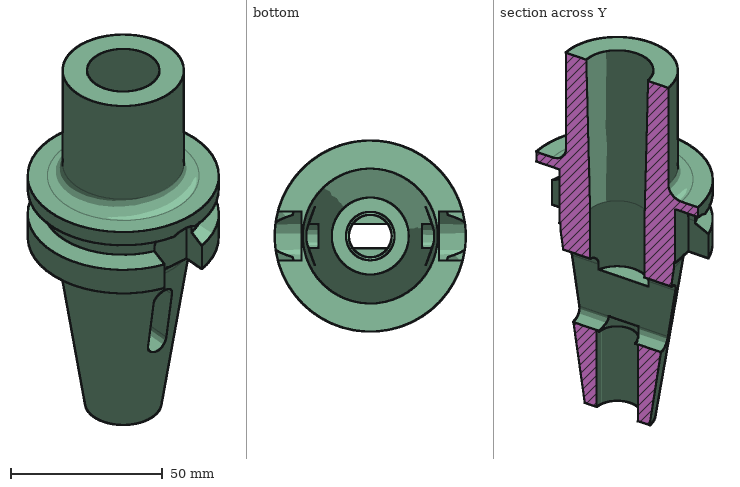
import cadquery as cq
import math


gauge_dia = 44.45
taper_ratio = 7 / 24
taper_length = 65.4
gauge_land = 2.0

flange_dia = 63.0
flange_top = 27.0
groove_root_dia = 53.0
groove_center_z = 16.6
groove_mouth_width = 10.0
groove_root_width = groove_mouth_width / 2

nose_dia = 40.0
nose_top = 70.0
nose_fillet = 5.0

keyway_width = 16.1
keyway_floor_x = 22.6
keyway_top = 23.0

socket_mouth_dia = 23.825
socket_taper_ratio = 1 / 19.922
socket_relief_dia = 20.9
socket_depth = 84.0
tang_slot_width = 7.9
tang_slot_length = 27.0
tang_slot_depth = 78.0
thread_dia = 16.0
thread_core_dia = 14.0
thread_depth = 30.0

gauge_radius = gauge_dia / 2
flange_radius = flange_dia / 2
nose_radius = nose_dia / 2
bottom_z = -taper_length


def make_body():
    """Revolve the outer profile: taper, grooved flange and filleted nose."""
    small_end_radius = gauge_radius - taper_length * taper_ratio / 2
    groove_root_radius = groove_root_dia / 2
    half_mouth = groove_mouth_width / 2
    half_root = groove_root_width / 2
    fillet_sink = nose_fillet * (1 - math.cos(math.radians(45)))
    profile = (
        cq.Workplane("XZ")
        .moveTo(0, bottom_z)
        .lineTo(small_end_radius, bottom_z)
        .lineTo(gauge_radius, 0)
        .lineTo(gauge_radius, gauge_land)
        .lineTo(flange_radius, gauge_land)
        .lineTo(flange_radius, groove_center_z - half_mouth)
        .lineTo(groove_root_radius, groove_center_z - half_root)
        .lineTo(groove_root_radius, groove_center_z + half_root)
        .lineTo(flange_radius, groove_center_z + half_mouth)
        .lineTo(flange_radius, flange_top)
        .lineTo(nose_radius + nose_fillet, flange_top)
        .threePointArc(
            (nose_radius + fillet_sink, flange_top + fillet_sink),
            (nose_radius, flange_top + nose_fillet),
        )
        .lineTo(nose_radius, nose_top)
        .lineTo(0, nose_top)
        .close()
    )
    return profile.revolve(360, (0, 0, 0), (0, 1, 0))


def make_keyway(side):
    """Round-topped drive keyway, open downward and outward; side is +1 or -1."""
    half_width = keyway_width / 2
    arch_z = keyway_top - half_width
    return (
        cq.Workplane("YZ", origin=(side * keyway_floor_x, 0, 0))
        .moveTo(-half_width, gauge_land)
        .lineTo(half_width, gauge_land)
        .lineTo(half_width, arch_z)
        .threePointArc((0, keyway_top), (-half_width, arch_z))
        .close()
        .extrude(side * flange_radius)
    )


def make_socket():
    """Morse taper socket ending in a cylindrical relief with a flat floor."""
    mouth_radius = socket_mouth_dia / 2
    relief_radius = socket_relief_dia / 2
    relief_z = nose_top - (socket_mouth_dia - socket_relief_dia) / socket_taper_ratio
    floor_z = nose_top - socket_depth
    return (
        cq.Workplane("XZ")
        .moveTo(0, nose_top)
        .lineTo(mouth_radius, nose_top)
        .lineTo(relief_radius, relief_z)
        .lineTo(relief_radius, floor_z)
        .lineTo(0, floor_z)
        .close()
        .revolve(360, (0, 0, 0), (0, 1, 0))
    )


def make_tang_slot():
    """Round-ended slot running right through the taper along X."""
    slot_center_z = nose_top - tang_slot_depth - tang_slot_length / 2
    return (
        cq.Workplane("YZ", origin=(0, 0, slot_center_z))
        .slot2D(tang_slot_length, tang_slot_width, 90)
        .extrude(gauge_dia, both=True)
    )


def make_stud_hole():
    """Thread hole in the small end; its core diameter breaks into the slot's rounded lower end."""
    slot_bottom_arc_z = nose_top - tang_slot_depth - tang_slot_length + tang_slot_width / 2
    small_end = cq.Workplane("XY", origin=(0, 0, bottom_z))
    thread = small_end.circle(thread_dia / 2).extrude(thread_depth)
    core = small_end.circle(thread_core_dia / 2).extrude(slot_bottom_arc_z - bottom_z)
    return thread.union(core)


result = make_body()
for keyway_side in (1, -1):
    result = result.cut(make_keyway(keyway_side))
result = result.cut(make_socket())
result = result.cut(make_tang_slot())
result = result.cut(make_stud_hole())